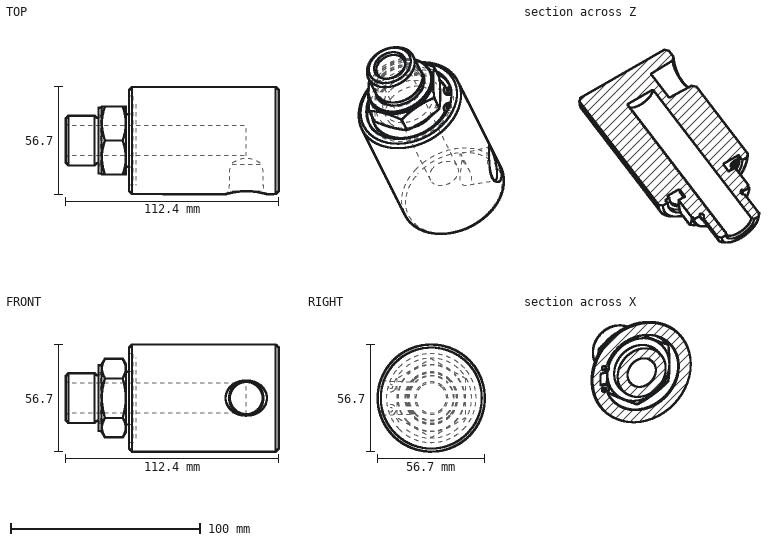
import cadquery as cq
import math


nipple_dia = 26.4
tip_chamfer = 1.6
thread_end = 15.8
thread_end_chamfer = 0.7
neck_dia = 24.0
bore_dia = 16.0
bore_mouth_dia = 17.4
bore_mouth_depth = 1.5

flange_start = 17.3
flange_dia = 34.8
undercut_dia = 27.0
hex_start = 19.0
hex_end = 31.8
hex_sides = 6
hex_across_flats = 36.0
hex_chamfer_dia = 35.5
hex_chamfer_angle = 30.0
collar_dia = 27.9

housing_start = 33.4
housing_end = 112.4
housing_dia = 56.7
housing_chamfer = 1.7

recess_dia = 47.1
ring_inner_dia = 42.4
ring_setback = 2.1
ring_thickness = 1.5
recess_depth = ring_setback + ring_thickness
ring_gap = 6.5
lug_dia = 5.7
lug_hole_dia = 2.4
lug_y = -21.5
lug_z = ring_gap / 2 + lug_dia / 2
lug_shoulder_z = 8.3

port_x = 95.2
port_dia = 18.1
port_taper = 1 / 16
port_rim_dia = 21.8
core_dia = 25.2
bore_depth = port_x

cutter_margin = 1.1


def cylinder(dia, start, end):
    """Solid cylinder along X between two stations."""
    return cq.Workplane("YZ", origin=(start, 0, 0)).circle(dia / 2).extrude(end - start)


def make_nipple():
    """Chamfered thread length on a plain stem, with the flange behind it."""
    thread = (
        cylinder(nipple_dia, 0, thread_end)
        .faces("<X").chamfer(tip_chamfer)
        .faces(">X").chamfer(thread_end_chamfer)
    )
    stem = cylinder(nipple_dia - 2 * thread_end_chamfer, thread_end, flange_start)
    flange = cylinder(flange_dia, flange_start, hex_start)
    return thread.union(stem).union(flange)


def make_hexagon():
    """Hexagon with corners up and down, its corners turned off by a cone at both ends."""
    across_corners = hex_across_flats / math.cos(math.pi / hex_sides)
    prism = (
        cq.Workplane("YZ", origin=(hex_start, 0, 0))
        .transformed(rotate=(0, 0, 90))
        .polygon(hex_sides, across_corners)
        .extrude(hex_end - hex_start)
    )
    face_radius = hex_chamfer_dia / 2
    outer_radius = across_corners / 2 + cutter_margin
    cone_length = (outer_radius - face_radius) * math.tan(math.radians(hex_chamfer_angle))
    envelope = (
        cq.Workplane("XY")
        .moveTo(hex_start, 0)
        .lineTo(hex_start, face_radius)
        .lineTo(hex_start + cone_length, outer_radius)
        .lineTo(hex_end - cone_length, outer_radius)
        .lineTo(hex_end, face_radius)
        .lineTo(hex_end, 0)
        .close()
        .revolve(360, (0, 0, 0), (1, 0, 0))
    )
    return prism.intersect(envelope)


def make_housing():
    """Round housing, chamfered at both ends, with the recess in its front face."""
    body = cylinder(housing_dia, housing_start, housing_end).faces("<X or >X").chamfer(housing_chamfer)
    return body.cut(cylinder(recess_dia, housing_start, housing_start + recess_depth))


def make_retaining_ring():
    """Open ring with a drilled lug on each side of its gap, which faces -Y."""
    start = housing_start + ring_setback
    end = start + ring_thickness
    ring = cylinder(recess_dia, start, end).cut(cylinder(ring_inner_dia, start, end))
    plane = cq.Workplane("YZ", origin=(start, 0, 0))
    shoulder_y = -math.sqrt((ring_inner_dia / 2) ** 2 - lug_shoulder_z ** 2)
    for side in (1, -1):
        web = (
            plane
            .moveTo(lug_y, side * ring_gap / 2)
            .lineTo(-recess_dia / 2, side * ring_gap / 2)
            .lineTo(-recess_dia / 2, side * lug_shoulder_z)
            .lineTo(shoulder_y, side * lug_shoulder_z)
            .lineTo(lug_y, side * lug_z)
            .close()
            .extrude(ring_thickness)
            .intersect(cylinder(recess_dia, start, end))
        )
        lug = plane.center(lug_y, side * lug_z).circle(lug_dia / 2).extrude(ring_thickness)
        ring = ring.union(web).union(lug)
    gap = (
        plane.center(-recess_dia / 2, 0)
        .rect(recess_dia - ring_inner_dia + cutter_margin, ring_gap)
        .extrude(ring_thickness)
    )
    holes = (
        plane.pushPoints([(lug_y, lug_z), (lug_y, -lug_z)])
        .circle(lug_hole_dia / 2)
        .extrude(ring_thickness)
    )
    return ring.cut(gap).cut(holes)


def make_neck_undercut():
    """Round-bottomed groove that necks the stem and runs on into the flange face."""
    wall_radius = undercut_dia / 2
    neck_radius = neck_dia / 2
    arc_radius = wall_radius - neck_radius
    stem_radius = nipple_dia / 2 - thread_end_chamfer
    arc_center_x = thread_end + math.sqrt(arc_radius ** 2 - (wall_radius - stem_radius) ** 2)
    return (
        cq.Workplane("XY")
        .moveTo(thread_end, stem_radius)
        .threePointArc((arc_center_x, neck_radius), (arc_center_x + arc_radius, wall_radius))
        .lineTo(thread_end, wall_radius)
        .close()
        .revolve(360, (0, 0, 0), (1, 0, 0))
    )


def make_bore():
    """Blind bore with a tapered lead-in at the nipple tip."""
    return (
        cq.Workplane("XY")
        .lineTo(0, bore_mouth_dia / 2)
        .lineTo(bore_mouth_depth, bore_dia / 2)
        .lineTo(bore_depth, bore_dia / 2)
        .lineTo(bore_depth, 0)
        .close()
        .revolve(360, (0, 0, 0), (1, 0, 0))
    )


def make_port():
    """Tapered side port with a 45 degree countersink, leaving the core untouched."""
    countersink = (port_rim_dia - port_dia) / 2
    outer_y = -housing_dia / 2
    taper_start_y = outer_y + countersink
    axis_radius = (port_dia + port_taper * taper_start_y) / 2
    hole = (
        cq.Workplane("XY")
        .moveTo(port_x, 0)
        .lineTo(port_x + axis_radius, 0)
        .lineTo(port_x + port_dia / 2, taper_start_y)
        .lineTo(port_x + port_rim_dia / 2, outer_y)
        .lineTo(port_x, outer_y)
        .close()
        .revolve(360, (port_x, 0, 0), (port_x, 1, 0))
    )
    return hole.cut(cylinder(core_dia, housing_start, housing_end))


collar = cylinder(collar_dia, hex_end, housing_start + recess_depth)
result = (
    make_housing()
    .union(make_retaining_ring())
    .union(collar)
    .union(make_hexagon())
    .union(make_nipple())
    .cut(make_neck_undercut())
    .cut(make_bore())
    .cut(make_port())
)